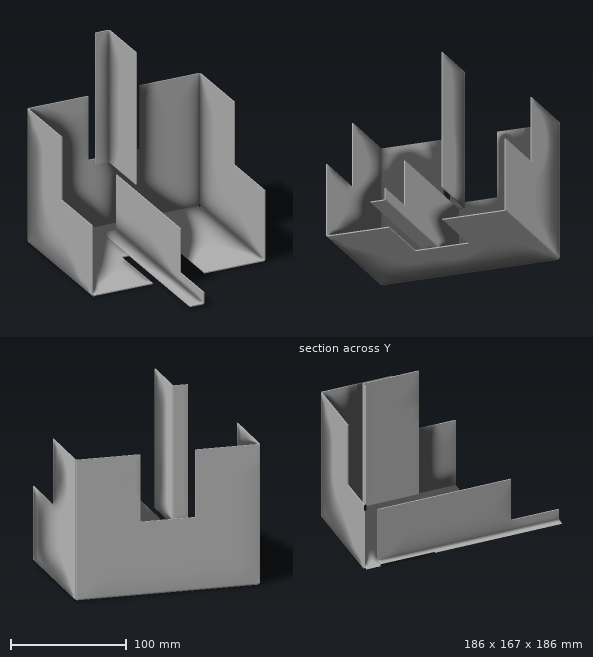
import cadquery as cq

sheet = 1.0
bend_radius = 1.7
inner_radius = bend_radius - sheet

housing_width = 167.0
leg_length = 126.9
leg_depth = 67.1
corner_gap = 1.1
corner_relief = 2.0
notch_width = 49.8
notch_start = 66.0

overall = 186.0
partition_back = 79.0
flange_width = 14.0

upper_bottom = 60.6
upper_edge = 54.3

lower_start = 15.8
lower_top = 54.3
lower_step = 140.6
tail_top = 12.5


def angle(plane, leg_a, leg_b, length):
    """Bent sheet with legs along the plane's local x and y, extruded along its normal."""
    outer_mid = bend_radius * (1 - 0.5 ** 0.5)
    inner_mid = bend_radius - inner_radius * 0.5 ** 0.5
    return (
        cq.Workplane(plane)
        .moveTo(bend_radius, 0)
        .lineTo(leg_a, 0)
        .lineTo(leg_a, sheet)
        .lineTo(bend_radius, sheet)
        .threePointArc((inner_mid, inner_mid), (sheet, bend_radius))
        .lineTo(sheet, leg_b)
        .lineTo(0, leg_b)
        .lineTo(0, bend_radius)
        .threePointArc((outer_mid, outer_mid), (bend_radius, 0))
        .close()
        .extrude(length)
    )


def block(x_range, y_range, z_range):
    """Axis-aligned box between the given limits."""
    sizes = [high - low for low, high in (x_range, y_range, z_range)]
    corner = (x_range[0], y_range[0], z_range[0])
    return cq.Workplane("XY").box(*sizes, centered=False).translate(corner)


def make_housing():
    half_width = housing_width / 2
    run = leg_length - corner_gap
    front_plane = cq.Plane(origin=(corner_gap, 0, 0), xDir=(0, 1, 0), normal=(1, 0, 0))
    front_half = angle(front_plane, half_width, leg_length, run)
    back_half = front_half.mirror("XZ", (0, half_width, 0))
    end_plane = cq.Plane(origin=(0, housing_width - corner_gap, 0), xDir=(1, 0, 0), normal=(0, -1, 0))
    end_wall = angle(end_plane, leg_depth, leg_length, housing_width - 2 * corner_gap)
    tray = front_half.union(back_half).union(end_wall)

    for corner_y in ((0, corner_relief), (housing_width - corner_relief, housing_width)):
        tray = tray.cut(block((0, corner_relief), corner_y, (0, corner_relief)))

    tray = tray.cut(block((leg_depth, leg_length), (0, housing_width), (leg_depth, leg_length)))

    notch = ((housing_width - notch_width) / 2, (housing_width + notch_width) / 2)
    floor_notch = block((notch_start, leg_length), notch, (0, sheet))
    wall_notch = block((0, sheet), notch, (notch_start, leg_length))
    return tray.cut(floor_notch).cut(wall_notch)


def make_upper_partition():
    plane = cq.Plane(origin=(sheet, partition_back, upper_bottom), xDir=(0, -1, 0), normal=(0, 0, 1))
    return angle(plane, flange_width, upper_edge - sheet, overall - upper_bottom)


def make_lower_partition():
    plane = cq.Plane(origin=(overall, partition_back, sheet), xDir=(0, -1, 0), normal=(-1, 0, 0))
    plate = angle(plane, flange_width, lower_top - sheet, overall - lower_start)
    plate_y = (partition_back - sheet, partition_back)
    return plate.cut(block((lower_step, overall), plate_y, (tail_top, lower_top)))


housing = make_housing()
upper_partition = make_upper_partition()
lower_partition = make_lower_partition()

result = cq.Compound.makeCompound([housing.val(), upper_partition.val(), lower_partition.val()])